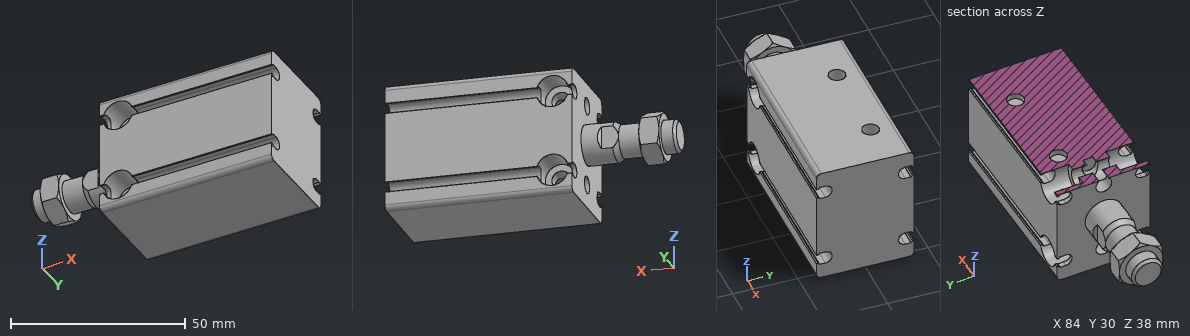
import cadquery as cq
import math


overall_length = 84.0
housing_length = 56.0
housing_width = 30.0
housing_height = 38.0
corner_radius = 1.5
front_face = 0.0

row_offset = 12.0
slot_depth = 4.8
slot_width = 4.0
slot_mouth_width = 3.0
slot_lip = 0.5
mount_hole_setback = 6.0
mount_hole_diameter = 5.5
counterbore_diameter = 9.5
counterbore_depth = 9.0
front_hole_diameter = 5.0
front_hole_depth = 10.0

port_diameter = 5.0
port_depth = 6.7
port_side_offset = 7.0
port_setbacks = [15.0, 42.0]

rod_diameter = 12.0
thread_diameter = 10.0
tip_chamfer = 0.8
rod_length = overall_length - housing_length
thread_length = 17.05
shoulder_angle = math.radians(30)
flat_spacing = thread_diameter
flat_length = 5.0

hexagon_sides = 6
nut_across_flats = 14.0
nut_thickness = 6.05
nut_setback = 4.4
nut_chamfer_angle = math.radians(30)

rod_tip = front_face - rod_length
rows = [row_offset, -row_offset]
sides = [1, -1]


def x_cylinder(diameter, start, length, z=0.0):
    """Cylinder along +X at height z, starting at x = start."""
    return cq.Workplane("YZ", origin=(start, 0, z)).circle(diameter / 2).extrude(length)


def side_slot(side, z):
    """Round-bottomed slot along the whole housing, narrowed by 45 degree shoulders to its mouth."""
    wall = housing_width / 2
    half_slot = slot_width / 2
    half_mouth = slot_mouth_width / 2
    lip_inner = wall - slot_lip
    shoulder_end = lip_inner - (half_slot - half_mouth)
    slot_bottom = wall - slot_depth
    round_centre = slot_bottom + half_slot
    return (
        cq.Workplane("YZ", origin=(front_face, 0, z))
        .moveTo(side * wall, half_mouth)
        .lineTo(side * lip_inner, half_mouth)
        .lineTo(side * shoulder_end, half_slot)
        .lineTo(side * round_centre, half_slot)
        .threePointArc((side * slot_bottom, 0), (side * round_centre, -half_slot))
        .lineTo(side * shoulder_end, -half_slot)
        .lineTo(side * lip_inner, -half_mouth)
        .lineTo(side * wall, -half_mouth)
        .close()
        .extrude(housing_length)
    )


def mount_hole(z):
    """Through hole along Y with a counterbore in each side face."""
    hole_x = front_face + mount_hole_setback
    hole = (
        cq.Workplane("XZ", origin=(hole_x, 0, z))
        .circle(mount_hole_diameter / 2)
        .extrude(housing_width / 2, both=True)
    )
    for side in sides:
        counterbore = (
            cq.Workplane("XZ", origin=(hole_x, side * housing_width / 2, z))
            .circle(counterbore_diameter / 2)
            .extrude(side * counterbore_depth)
        )
        hole = hole.union(counterbore)
    return hole


def port(setback):
    """Blind hole in the top face."""
    top_point = (front_face + setback, port_side_offset, housing_height / 2)
    return cq.Workplane("XY", origin=top_point).circle(port_diameter / 2).extrude(-port_depth)


def make_housing():
    body = (
        cq.Workplane("YZ", origin=(front_face, 0, 0))
        .rect(housing_width, housing_height)
        .extrude(housing_length)
        .edges("|X")
        .fillet(corner_radius)
    )
    for z in rows:
        for side in sides:
            body = body.cut(side_slot(side, z))
        body = body.cut(mount_hole(z))
        body = body.cut(x_cylinder(front_hole_diameter, front_face, front_hole_depth, z=z))
    for setback in port_setbacks:
        body = body.cut(port(setback))
    return body


def wrench_flat(side):
    """Cutter for one flat on the rod, with a 45 degree run-out toward the housing."""
    flat = flat_spacing / 2
    rod_radius = rod_diameter / 2
    start = rod_tip + thread_length
    end = start + flat_length
    run_out = rod_radius - flat
    return (
        cq.Workplane("XY", origin=(0, 0, -rod_radius))
        .moveTo(start, side * flat)
        .lineTo(end, side * flat)
        .lineTo(end + run_out, side * rod_radius)
        .lineTo(start, side * rod_radius)
        .close()
        .extrude(rod_diameter)
    )


def make_rod():
    """Stepped rod that ends on the front face of the housing."""
    rod_radius = rod_diameter / 2
    thread_radius = thread_diameter / 2
    shoulder_start = rod_tip + thread_length
    shoulder_end = shoulder_start + (rod_radius - thread_radius) / math.tan(shoulder_angle)
    rod = (
        cq.Workplane("XY")
        .moveTo(rod_tip, 0)
        .lineTo(rod_tip, thread_radius - tip_chamfer)
        .lineTo(rod_tip + tip_chamfer, thread_radius)
        .lineTo(shoulder_start, thread_radius)
        .lineTo(shoulder_end, rod_radius)
        .lineTo(front_face, rod_radius)
        .lineTo(front_face, 0)
        .close()
        .revolve(360, (0, 0, 0), (1, 0, 0))
    )
    for side in sides:
        rod = rod.cut(wrench_flat(side))
    return rod


def make_nut():
    """Hexagon nut with corners up and down, chamfered on both faces."""
    nut_start = rod_tip + nut_setback
    nut_end = nut_start + nut_thickness
    flat_radius = nut_across_flats / 2
    hexagon_radius = flat_radius / math.cos(math.pi / hexagon_sides)
    chamfer_drop = (hexagon_radius - flat_radius) * math.tan(nut_chamfer_angle)
    hexagon = (
        cq.Workplane("YZ", origin=(nut_start, 0, 0))
        .transformed(rotate=(0, 0, 90))
        .polygon(hexagon_sides, 2 * hexagon_radius)
        .extrude(nut_thickness)
    )
    chamfer_envelope = (
        cq.Workplane("XY")
        .moveTo(nut_start, 0)
        .lineTo(nut_start, flat_radius)
        .lineTo(nut_start + chamfer_drop, hexagon_radius)
        .lineTo(nut_end - chamfer_drop, hexagon_radius)
        .lineTo(nut_end, flat_radius)
        .lineTo(nut_end, 0)
        .close()
        .revolve(360, (0, 0, 0), (1, 0, 0))
    )
    bore = x_cylinder(thread_diameter, nut_start, nut_thickness)
    return hexagon.intersect(chamfer_envelope).cut(bore)


housing = make_housing()
rod = make_rod()
nut = make_nut()

result = cq.Compound.makeCompound([housing.val(), rod.val(), nut.val()])